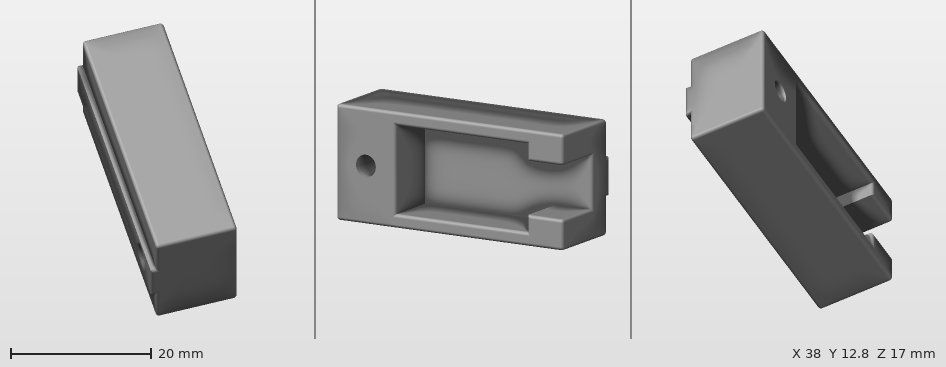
import cadquery as cq

length = 38.0
body_depth = 12.0
height = 17.0
edge_radius = 0.5

rail_projection = 0.8
rail_height = 5.7
rail_embed = 2 * edge_radius

web_thickness = 4.0
slot_height = 7.9
left_wall = 6.0

side_wall = 2.0
right_wall = 10.0
cavity_height = height - 2 * side_wall
cavity_length = length - left_wall - right_wall
recess_depth = body_depth - web_thickness

hole_diameter = 3.3
hole_x = length - 5.0


def block(x_start, y_start, x_size, y_size, z_size):
    """Box starting at the given X and Y, centred on Z = 0."""
    box = cq.Workplane("XY").box(x_size, y_size, z_size, centered=(False, False, True))
    return box.translate((x_start, y_start, 0))


def make_body():
    """Block with its slot, hollow and rounded outer edges."""
    slot = block(0, web_thickness, left_wall, recess_depth, slot_height)
    cavity = block(left_wall, web_thickness, cavity_length, recess_depth, cavity_height)
    body = block(0, 0, length, body_depth, height).cut(slot).cut(cavity)
    rounded = body.faces("<X or >X or <Y or >Y").edges()
    long_edges = body.edges("|X").edges("<Z or >Z")
    return body.newObject(rounded.add(long_edges).vals()).fillet(edge_radius)


def make_rail():
    """Rail rooted inside the body, with rounded ends and sharp long edges."""
    rail = block(0, -rail_projection, length, rail_projection + rail_embed, rail_height)
    return rail.faces("<X or >X").edges("|Z and <Y or |Y").fillet(edge_radius)


def drill_hole(part):
    """Through hole along Y with a rounded rim in the rail face."""
    total_depth = body_depth + rail_projection
    drill = (
        cq.Workplane("XZ", origin=(hole_x, body_depth, 0))
        .circle(hole_diameter / 2)
        .extrude(total_depth)
    )
    drilled = part.cut(drill)
    return drilled.faces("<Y").edges("%CIRCLE").fillet(edge_radius)


result = drill_hole(make_body().union(make_rail()))